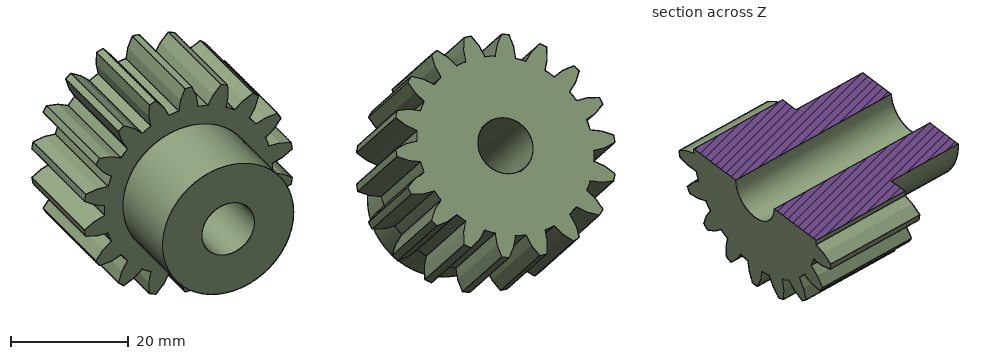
import cadquery as cq
import math

tooth_count = 18
tip_diameter = 40.0
pitch_diameter = 36.0
root_diameter = 32.0
gear_width = 20.0
hub_diameter = 25.0
hub_length = 15.0
bore_diameter = 10.0

tip_half_angle = 1.9
pitch_half_angle = 4.8
root_half_angle = 6.6

tooth_pitch_angle = 360.0 / tooth_count
total_length = gear_width + hub_length


def polar_point(diameter, angle):
    """Point on a circle about the gear axis, angle in degrees."""
    radians = math.radians(angle)
    return (diameter / 2 * math.cos(radians), diameter / 2 * math.sin(radians))


def gear_outline():
    """Closed outline: flanks of two flats, arcs on the tips and roots."""
    first_tooth_angle = 90.0
    outline = cq.Workplane("YZ").moveTo(*polar_point(root_diameter, first_tooth_angle - root_half_angle))
    for index in range(tooth_count):
        center = first_tooth_angle + index * tooth_pitch_angle
        next_center = center + tooth_pitch_angle
        outline = (
            outline
            .lineTo(*polar_point(pitch_diameter, center - pitch_half_angle))
            .lineTo(*polar_point(tip_diameter, center - tip_half_angle))
            .threePointArc(
                polar_point(tip_diameter, center),
                polar_point(tip_diameter, center + tip_half_angle),
            )
            .lineTo(*polar_point(pitch_diameter, center + pitch_half_angle))
            .lineTo(*polar_point(root_diameter, center + root_half_angle))
            .threePointArc(
                polar_point(root_diameter, center + tooth_pitch_angle / 2),
                polar_point(root_diameter, next_center - root_half_angle),
            )
        )
    return outline.close()


gear = gear_outline().extrude(gear_width)
hub = cq.Workplane("YZ").workplane(offset=gear_width).circle(hub_diameter / 2).extrude(hub_length)
bore = cq.Workplane("YZ").circle(bore_diameter / 2).extrude(total_length)

result = gear.union(hub).cut(bore)